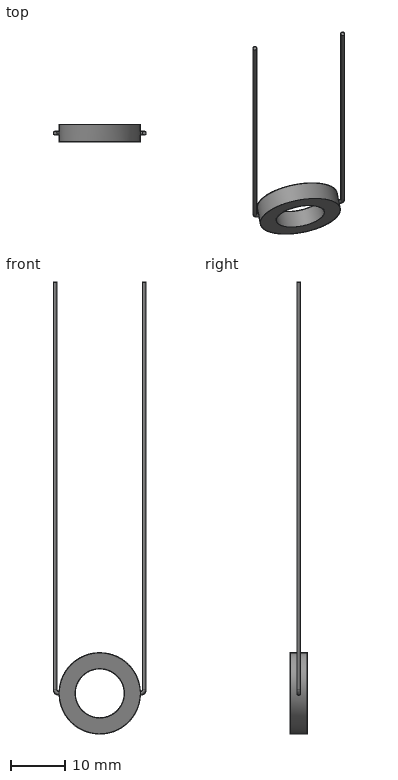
import cadquery as cq

ring_diameter = 15.0
bore_diameter = 9.0
ring_width = 3.2

overall_width = 17.12
overall_height = 83.23
wire_diameter = 0.7
bend_radius = 0.7

ring_radius = ring_diameter / 2
lead_x = (overall_width - wire_diameter) / 2
lead_top = overall_height - ring_radius


def make_cylinder(diameter):
    """Cylinder on the ring axis, as wide as the ring."""
    front_plane = cq.Workplane("XZ", origin=(0, -ring_width / 2, 0))
    return front_plane.circle(diameter / 2).extrude(-ring_width)


def make_ring():
    return make_cylinder(ring_diameter).cut(make_cylinder(bore_diameter)).solids()


def make_lead(side):
    """Wire that leaves the ring sideways and turns up; side is -1 or +1 along X."""
    path = (
        cq.Workplane("XZ")
        .lineTo(side * (lead_x - bend_radius), 0)
        .tangentArcPoint((side * lead_x, bend_radius), relative=False)
        .lineTo(side * lead_x, lead_top)
    )
    wire = cq.Workplane("YZ").circle(wire_diameter / 2).sweep(path)
    return wire.cut(make_cylinder(ring_diameter)).solids()


ring = make_ring()
leads = [make_lead(side) for side in (-1, 1)]

result = cq.Compound.makeCompound([ring.val(), *[lead.val() for lead in leads]])